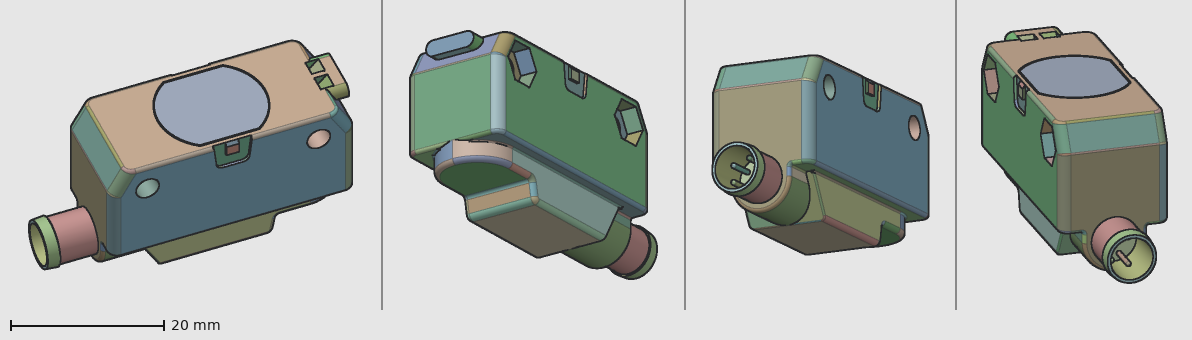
import cadquery as cq
import math


MARGIN = 0.05
FULL_ROUND_GAP = 0.01

BODY_WIDTH = 15.0
BODY_LENGTH = 34.5
BODY_HEIGHT = 15.0
HALF_WIDTH = BODY_WIDTH / 2
HALF_LENGTH = BODY_LENGTH / 2
BEVEL_RUN = 2.15
BEVEL_ANGLE = 60.0
BEVEL_DROP = BEVEL_RUN * math.tan(math.radians(BEVEL_ANGLE))
CORNER_RADIUS = 1.45
EDGE_RADIUS = 0.5

KEEL_WIDTH = 11.2
KEEL_DEPTH = 5.9
KEEL_REAR_DEPTH = 2.85
KEEL_FRONT_TOP_Y = -13.1
KEEL_FRONT_ANGLE = 30.0
KEEL_FRONT_BOTTOM_Y = KEEL_FRONT_TOP_Y + (KEEL_DEPTH + EDGE_RADIUS) * math.tan(math.radians(KEEL_FRONT_ANGLE))
KEEL_STEP_TOP_Y = 7.0
KEEL_STEP_BOTTOM_Y = 6.4
KEEL_STEP_RADIUS = 1.0
KEEL_STEP_ROOT_RADIUS = 0.5
KEEL_EDGE_RADIUS = 0.7
KEEL_FRONT_RADIUS = 0.25

CRADLE_RADIUS = 4.4
CONNECTOR_Z = CRADLE_RADIUS - KEEL_DEPTH
CRADLE_END_Y = -9.0
ROOT_RADIUS = 0.25
SLEEVE_RADIUS = 3.25
SLEEVE_LENGTH = 7.12
SLEEVE_BORE_RADIUS = 2.9
COLLAR_LENGTH = 1.7
COLLAR_RADIUS = 3.5
COLLAR_TIP_RADIUS = 3.35
PIN_RADIUS = 0.35
PIN_TIP_RADIUS = 0.3
PIN_LENGTH = 4.3
PIN_PLACES = [(0.52, 1.88), (0.52, -1.88), (-1.8, 1.13), (-1.8, -1.13)]

HOLE_SPACING = 24.1
HOLE_Z = 11.17
HOLE_DIAMETER = 3.25
NUT_ACROSS_FLATS = 5.55
NUT_ACROSS_CORNERS = NUT_ACROSS_FLATS / math.cos(math.radians(30))
NUT_DEPTH = 2.5

LATCH_TOP_WIDTH = 5.4
LATCH_BOTTOM_WIDTH = 4.5
LATCH_HEIGHT = 4.0
LATCH_CORNER_RADIUS = 0.9
LATCH_DEPTH = 0.45
CATCH_WIDTH = 1.8
CATCH_HEIGHT = 2.05
CATCH_RAMP_HEIGHT = 0.55
CATCH_DEPTH = 0.35

LUG_WIDTH = 7.6
LUG_HEIGHT = 2.25
LUG_OVERHANG = 0.6
LUG_LENGTH = 3.5
WINDOW_WIDTH = 2.25
WINDOW_GAP = 0.8
WINDOW_REAR_Y = 16.15
WINDOW_FRONT_Y = 14.3
WINDOW_SLOPE = 45.0

INSERT_DIAMETER = 15.2
INSERT_FLATS = 12.7
GROOVE_WIDTH = 0.12
GROOVE_DEPTH = 0.1


def centred_in(x_range, y_range, z_range):
    """Selector for items whose centres lie within the given ranges, widened by the margin."""
    low = [span[0] - MARGIN for span in (x_range, y_range, z_range)]
    high = [span[1] + MARGIN for span in (x_range, y_range, z_range)]
    return cq.selectors.BoxSelector(low, high)


def make_block():
    """Main block with both upper ends bevelled, and its edges rounded except underneath."""
    bevel_z = BODY_HEIGHT - BEVEL_DROP
    bevel_y = HALF_LENGTH - BEVEL_RUN
    outline = [
        (-HALF_LENGTH, 0),
        (HALF_LENGTH, 0),
        (HALF_LENGTH, bevel_z),
        (bevel_y, BODY_HEIGHT),
        (-bevel_y, BODY_HEIGHT),
        (-HALF_LENGTH, bevel_z),
    ]
    block = cq.Workplane("YZ").polyline(outline).close().extrude(HALF_WIDTH, both=True)
    whole_width = (-HALF_WIDTH, HALF_WIDTH)
    whole_length = (-HALF_LENGTH, HALF_LENGTH)
    bevel_feet = centred_in(whole_width, whole_length, (bevel_z, bevel_z))
    block = block.edges(bevel_feet).edges("|X").fillet(EDGE_RADIUS)
    above_base = (EDGE_RADIUS, BODY_HEIGHT - EDGE_RADIUS)
    end_corners = centred_in(whole_width, whole_length, above_base)
    block = block.edges(end_corners).edges("#X").fillet(CORNER_RADIUS)
    return block.faces(">Z").edges().fillet(EDGE_RADIUS)


def add_cradle(block):
    """U-shaped cradle at the front, blended into the underside of the block."""
    cradle = (
        cq.Workplane("XZ", origin=(0, CRADLE_END_Y, 0))
        .moveTo(-CRADLE_RADIUS, EDGE_RADIUS)
        .lineTo(-CRADLE_RADIUS, CONNECTOR_Z)
        .threePointArc((0, -KEEL_DEPTH), (CRADLE_RADIUS, CONNECTOR_Z))
        .lineTo(CRADLE_RADIUS, EDGE_RADIUS)
        .close()
        .extrude(HALF_LENGTH + CRADLE_END_Y)
    )
    joined = block.union(cradle)
    cradle_width = (-CRADLE_RADIUS, CRADLE_RADIUS)
    root_zone = centred_in(cradle_width, (-HALF_LENGTH, CRADLE_END_Y), (0, 0))
    joined = joined.edges(root_zone).edges("|Y").fillet(ROOT_RADIUS)
    underside = centred_in((-HALF_WIDTH, HALF_WIDTH), (-HALF_LENGTH, HALF_LENGTH), (-KEEL_DEPTH, 0))
    flared_width = (-CRADLE_RADIUS - ROOT_RADIUS, CRADLE_RADIUS + ROOT_RADIUS)
    behind_front = centred_in(flared_width, (EDGE_RADIUS - HALF_LENGTH, CRADLE_END_Y), (-KEEL_DEPTH, 0))
    return joined.edges(cq.selectors.SubtractSelector(underside, behind_front)).fillet(EDGE_RADIUS)


def make_keel():
    """Stepped keel with a round rear end and a slanted front end."""
    half_width = KEEL_WIDTH / 2
    profile = [
        (HALF_LENGTH, EDGE_RADIUS),
        (HALF_LENGTH, -KEEL_REAR_DEPTH),
        (KEEL_STEP_TOP_Y, -KEEL_REAR_DEPTH),
        (KEEL_STEP_BOTTOM_Y, -KEEL_DEPTH),
        (KEEL_FRONT_BOTTOM_Y, -KEEL_DEPTH),
        (KEEL_FRONT_TOP_Y, EDGE_RADIUS),
    ]
    keel = cq.Workplane("YZ").polyline(profile).close().extrude(half_width, both=True)
    whole_width = (-half_width, half_width)
    step_foot = centred_in(whole_width, (KEEL_STEP_BOTTOM_Y, KEEL_STEP_BOTTOM_Y), (-KEEL_DEPTH, -KEEL_DEPTH))
    keel = keel.edges(step_foot).edges("|X").fillet(KEEL_STEP_RADIUS)
    step_y = (KEEL_STEP_TOP_Y, KEEL_STEP_TOP_Y)
    step_root = centred_in(whole_width, step_y, (-KEEL_REAR_DEPTH, -KEEL_REAR_DEPTH))
    keel = keel.edges(step_root).edges("|X").fillet(KEEL_STEP_ROOT_RADIUS)
    keel = keel.edges("|Z and >Y").fillet(half_width - FULL_ROUND_GAP)
    lower_rim = centred_in(whole_width, (KEEL_FRONT_BOTTOM_Y, HALF_LENGTH), (-KEEL_DEPTH, -KEEL_REAR_DEPTH))
    keel = keel.edges(lower_rim).edges("not (|X or |Z)").fillet(KEEL_EDGE_RADIUS)
    return keel.faces("<Y").edges().fillet(KEEL_FRONT_RADIUS)


def make_keel_flare():
    """Concave flare where the keel sides and round rear meet the underside of the block."""
    half_width = KEEL_WIDTH / 2
    arc_start_y = HALF_LENGTH - half_width
    path = (
        cq.Workplane("XY")
        .moveTo(half_width, KEEL_FRONT_TOP_Y)
        .lineTo(half_width, arc_start_y)
        .threePointArc((0, HALF_LENGTH), (-half_width, arc_start_y))
        .lineTo(-half_width, KEEL_FRONT_TOP_Y)
    )
    bulge = ROOT_RADIUS * (1 - math.sqrt(0.5))
    flare = (
        cq.Workplane("XZ", origin=(half_width, KEEL_FRONT_TOP_Y, 0))
        .moveTo(-ROOT_RADIUS, 0)
        .lineTo(ROOT_RADIUS, 0)
        .threePointArc((bulge, -bulge), (0, -ROOT_RADIUS))
        .lineTo(-ROOT_RADIUS, -ROOT_RADIUS)
        .close()
        .sweep(path)
    )
    flat_length = BODY_LENGTH - 2 * EDGE_RADIUS
    return flare.intersect(cq.Workplane("XY").box(BODY_WIDTH, flat_length, KEEL_DEPTH))


def make_lug():
    """Flat lug with round sides overhanging the rear bevel."""
    return (
        cq.Workplane("XZ", origin=(0, HALF_LENGTH + LUG_OVERHANG, BODY_HEIGHT - LUG_HEIGHT / 2))
        .slot2D(LUG_WIDTH, LUG_HEIGHT)
        .extrude(LUG_LENGTH)
    )


def make_windows():
    """Two wedge-shaped windows in the lug, with floors sloping down toward the front."""
    depth = (WINDOW_REAR_Y - WINDOW_FRONT_Y) * math.tan(math.radians(WINDOW_SLOPE))
    wedge_outline = [
        (WINDOW_REAR_Y, BODY_HEIGHT),
        (WINDOW_FRONT_Y, BODY_HEIGHT),
        (WINDOW_FRONT_Y, BODY_HEIGHT - depth),
    ]
    wedge = cq.Workplane("YZ").polyline(wedge_outline).close().extrude(WINDOW_WIDTH / 2, both=True)
    shift = (WINDOW_WIDTH + WINDOW_GAP) / 2
    return wedge.translate((-shift, 0, 0)).union(wedge.translate((shift, 0, 0)))


def make_sleeve():
    """Tubular connector sleeve with a tapered collar at the mouth."""
    collar_start = SLEEVE_LENGTH - COLLAR_LENGTH
    profile = [
        (SLEEVE_BORE_RADIUS, 0),
        (SLEEVE_RADIUS, 0),
        (SLEEVE_RADIUS, -collar_start),
        (COLLAR_RADIUS, -collar_start),
        (COLLAR_TIP_RADIUS, -SLEEVE_LENGTH),
        (SLEEVE_BORE_RADIUS, -SLEEVE_LENGTH),
    ]
    sleeve = cq.Workplane("XY").polyline(profile).close().revolve(360, (0, 0, 0), (0, 1, 0))
    return sleeve.translate((0, -HALF_LENGTH, CONNECTOR_Z))


def make_pins():
    """Four contact pins with rounded tips."""
    pins = (
        cq.Workplane("XZ", origin=(0, -HALF_LENGTH, CONNECTOR_Z))
        .pushPoints(PIN_PLACES)
        .circle(PIN_RADIUS)
        .extrude(PIN_LENGTH)
    )
    return pins.faces("<Y").edges().fillet(PIN_TIP_RADIUS)


def make_mounting_holes():
    """Two through holes along X, each with a hexagonal nut pocket on the -X side."""
    places = [(-HOLE_SPACING / 2, HOLE_Z), (HOLE_SPACING / 2, HOLE_Z)]
    start = cq.Workplane("YZ", origin=(-HALF_WIDTH, 0, 0)).pushPoints(places)
    holes = start.circle(HOLE_DIAMETER / 2).extrude(BODY_WIDTH)
    pockets = start.polygon(6, NUT_ACROSS_CORNERS).extrude(NUT_DEPTH)
    return holes.union(pockets)


def make_latch_cut():
    """Recess in the -X side that leaves a ramped catch standing in it."""
    floor_x = -HALF_WIDTH + LATCH_DEPTH
    bottom_z = BODY_HEIGHT - LATCH_HEIGHT
    recess_outline = [
        (-LATCH_TOP_WIDTH / 2, BODY_HEIGHT),
        (-LATCH_BOTTOM_WIDTH / 2, bottom_z),
        (LATCH_BOTTOM_WIDTH / 2, bottom_z),
        (LATCH_TOP_WIDTH / 2, BODY_HEIGHT),
    ]
    side = cq.Workplane("YZ", origin=(-HALF_WIDTH, 0, 0))
    recess = side.polyline(recess_outline).close().extrude(LATCH_DEPTH)
    recess = recess.edges("|X and <Z").fillet(LATCH_CORNER_RADIUS)
    catch_outline = [
        (floor_x, BODY_HEIGHT),
        (floor_x - CATCH_DEPTH, BODY_HEIGHT - CATCH_RAMP_HEIGHT),
        (floor_x - CATCH_DEPTH, BODY_HEIGHT - CATCH_HEIGHT),
        (floor_x, BODY_HEIGHT - CATCH_HEIGHT),
    ]
    catch = cq.Workplane("XZ").polyline(catch_outline).close().extrude(CATCH_WIDTH / 2, both=True)
    return recess.cut(catch)


def insert_outline(margin):
    """Disc with two flats, grown outward by a margin and as deep as the groove."""
    disc = cq.Workplane("XY").circle(INSERT_DIAMETER / 2 + margin).extrude(GROOVE_DEPTH)
    flats = cq.Workplane("XY").box(INSERT_FLATS + 2 * margin, BODY_LENGTH, BODY_HEIGHT)
    return disc.intersect(flats)


def make_insert_groove():
    """Thin groove that outlines the insert on the top face."""
    groove = insert_outline(0).cut(insert_outline(-GROOVE_WIDTH))
    return groove.translate((0, 0, BODY_HEIGHT - GROOVE_DEPTH))


latch_cut = make_latch_cut()
housing = add_cradle(make_block()).union(make_keel()).union(make_keel_flare()).union(make_lug())
housing = housing.cut(make_windows()).cut(make_mounting_holes()).cut(make_insert_groove())
housing = housing.cut(latch_cut).cut(latch_cut.mirror("YZ"))
result = housing.union(make_sleeve()).union(make_pins())